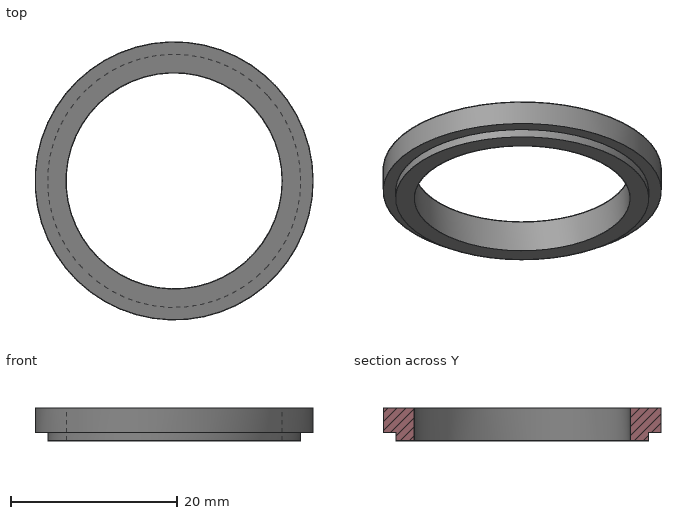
import cadquery as cq

flange_diameter = 33.5
spigot_diameter = 30.5
bore_diameter = 26.0
total_height = 4.0
spigot_height = 1.0
flange_height = total_height - spigot_height

spigot = cq.Workplane("XY").circle(spigot_diameter / 2).extrude(spigot_height)

flange = (
    cq.Workplane("XY")
    .workplane(offset=spigot_height)
    .circle(flange_diameter / 2)
    .extrude(flange_height)
)

bore = cq.Workplane("XY").circle(bore_diameter / 2).extrude(total_height)

result = spigot.union(flange).cut(bore)